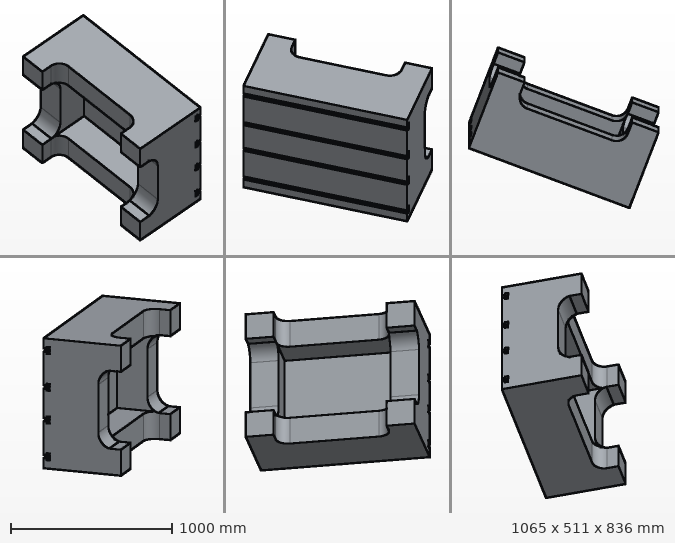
import cadquery as cq
import math

WIDTH = 1065.0
DEPTH = 511.0
HEIGHT = 836.0

OPENING_DEPTH = 149.0
END_OPENING_WIDTH = 714.0
END_OPENING_RADIUS = 77.0
SIDE_OPENING_HEIGHT = 501.0
SIDE_ARC_RADIUS = 100.0
SIDE_ARC_DEPTH = 72.0

CAVITY_WALL_X = 180.0
CAVITY_WALL_Z = 176.0
CAVITY_DEPTH = 350.0

SLOT_OFFSETS = (105.0, 342.0)
SLOT_NECK_WIDTH = 22.0
SLOT_HEAD_WIDTH = 44.0
SLOT_NECK_DEPTH = 20.0
SLOT_DEPTH = 40.0


def front_box(width, depth, height):
    """Box centred on X and Z, reaching back from the front face."""
    return cq.Workplane("XY").box(width, depth, height, centered=(True, False, True))


def back_slot_box(width, depth, z):
    """Full-length bar reaching in from the back face at height z."""
    bar = cq.Workplane("XY").box(WIDTH, depth, width, centered=(True, False, True))
    return bar.translate((0, DEPTH - depth, z))


def t_slot(z):
    neck = back_slot_box(SLOT_NECK_WIDTH, SLOT_DEPTH, z)
    head_depth = SLOT_DEPTH - SLOT_NECK_DEPTH
    head = back_slot_box(SLOT_HEAD_WIDTH, head_depth, z).translate((0, -SLOT_NECK_DEPTH, 0))
    return neck.union(head)


def make_side_opening():
    """Opening along X; its arcs are tangent to the rear wall and cross the feet at a slight angle."""
    half_height = SIDE_OPENING_HEIGHT / 2
    arc_start_y = OPENING_DEPTH - SIDE_ARC_DEPTH
    center_y = OPENING_DEPTH - SIDE_ARC_RADIUS
    arc_height = math.sqrt(SIDE_ARC_RADIUS**2 - (arc_start_y - center_y) ** 2)
    flat_half = half_height - arc_height
    mid_angle = (math.asin((arc_start_y - center_y) / SIDE_ARC_RADIUS) + math.pi / 2) / 2
    mid_y = center_y + SIDE_ARC_RADIUS * math.sin(mid_angle)
    mid_z = flat_half + SIDE_ARC_RADIUS * math.cos(mid_angle)
    profile = (
        cq.Workplane("YZ")
        .moveTo(0, -half_height)
        .lineTo(arc_start_y, -half_height)
        .threePointArc((mid_y, -mid_z), (OPENING_DEPTH, -flat_half))
        .lineTo(OPENING_DEPTH, flat_half)
        .threePointArc((mid_y, mid_z), (arc_start_y, half_height))
        .lineTo(0, half_height)
        .close()
    )
    return profile.extrude(WIDTH / 2, both=True)


end_opening = front_box(END_OPENING_WIDTH, OPENING_DEPTH, HEIGHT)
end_opening = end_opening.edges("|Z and >Y").fillet(END_OPENING_RADIUS)
side_opening = make_side_opening()

cavity = front_box(WIDTH - 2 * CAVITY_WALL_X, CAVITY_DEPTH, HEIGHT - 2 * CAVITY_WALL_Z)

result = front_box(WIDTH, DEPTH, HEIGHT).cut(end_opening).cut(side_opening).cut(cavity)

for offset in SLOT_OFFSETS:
    for z in (-offset, offset):
        result = result.cut(t_slot(z))